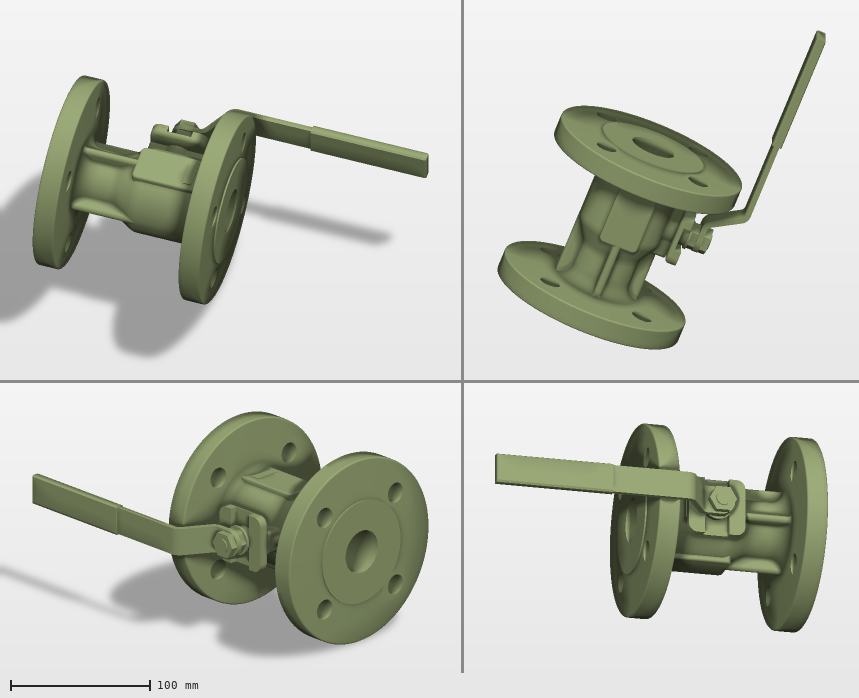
import cadquery as cq
import math


valve_length = 130.0
flange_radius = 70.0
raised_face_radius = 39.0
raised_face_height = 1.3
flange_back_draft = 1.5
rim_start = 2.5
rim_width = 15.5
rim_fillet = 1.3
bolt_circle_radius = 50.0
bolt_hole_radius = 7.5
bolt_count = 4
bore_radius = 16.2
tolerance = 0.3
flange_back = rim_start + rim_width + flange_back_draft

barrel_radius = 31.0
barrel_start = 67.5
barrel_end = 104.5
neck_start = 29.3
neck_end = 44.7
cone_angle = math.radians(30)
cone_bend_radius = 11.9
neck_flare = neck_start - flange_back
barrel_flare = valve_length - flange_back - barrel_end
bend_run = cone_bend_radius * math.sin(cone_angle)
bend_rise = cone_bend_radius * (1 - math.cos(cone_angle))
cone_run = barrel_start - neck_end - 2 * bend_run
neck_radius = barrel_radius - 2 * bend_rise - cone_run * math.tan(cone_angle)

rib_half_width = 2.8
rib_height = 31.3
rib_count = 4
rib_root_fillet = 2.0

plate_start = 59.3
plate_end = valve_length - flange_back
plate_half_width = 14.5
plate_height = 31.3
plate_corner_radius = 3.8
plate_edge_fillet = 1.5
stamp_pad_start = 96.7
stamp_pad_length = 6.5
stamp_pad_width = 20.0
stamp_pad_height = 0.8

stem_x = 78.5
mount_half_width = 21.0
mount_corner_radius = 6.5
mount_bottom = 37.0
mount_top = 45.5
mount_edge_fillet = 3.0
channel_floor = 40.5
pedestal_half_depth = 8.5
pedestal_boss_radius = 11.4
pedestal_fillet = 2.5

collar_radius = 9.0
washer_radius = 10.9
washer_bottom = 47.0
washer_top = 48.7
nut_corner_radius = 10.0
spindle_radius = 5.3
nut_top = 63.0
spindle_top = 64.1

lever_thickness = 4.0
lever_half_width = 10.0
lever_seat = 53.8
lever_rise = 25.2
lever_slope = math.radians(60)
lever_bend_x = 92.2
lever_bend_radius = 6.0
grip_start = 166.0
grip_end = 252.5
grip_thickness = 7.0
grip_half_width = 10.9
grip_chamfer_across = 1.5
grip_chamfer_down = 0.8
grip_end_fillet = 1.3
lever_seat_top = lever_seat + lever_thickness
lever_mid = lever_seat + lever_thickness / 2


def arc_middle(center, radius, angle):
    return (center[0] + radius * math.cos(angle), center[1] + radius * math.sin(angle))


def prism_y(sketch, bottom, top):
    """Extrude a wire drawn on an XZ plane, whose normal points to -Y, from bottom up to top."""
    return sketch.extrude(bottom - top).translate((0, bottom, 0))


def stem_plane():
    return cq.Workplane("XZ", origin=(stem_x, 0, 0))


def cylinder_y(radius, bottom, top):
    return prism_y(stem_plane().circle(radius), bottom, top)


def make_flange():
    """Left flange, with both faces leaning slightly towards the middle of the rim."""
    profile = [
        (0, 0),
        (0, raised_face_radius),
        (raised_face_height, raised_face_radius),
        (rim_start, flange_radius),
        (rim_start + rim_width, flange_radius),
        (flange_back, raised_face_radius),
        (flange_back, 0),
    ]
    flange = cq.Workplane("XY").polyline(profile).close().revolve(360, (0, 0, 0), (1, 0, 0))
    reach = flange_radius + tolerance
    rim_box = cq.selectors.BoxSelector(
        (rim_start - tolerance, -reach, -reach),
        (rim_start + rim_width + tolerance, reach, reach),
        boundingbox=True,
    )
    return flange.edges(rim_box).fillet(rim_fillet)


def make_barrel():
    neck_flare_center = (neck_start, neck_radius + neck_flare)
    barrel_flare_center = (barrel_end, barrel_radius + barrel_flare)
    neck_bend_center = (neck_end, neck_radius + cone_bend_radius)
    barrel_bend_center = (barrel_start, barrel_radius - cone_bend_radius)
    return (
        cq.Workplane("XY")
        .moveTo(flange_back, 0)
        .lineTo(flange_back, neck_radius + neck_flare)
        .threePointArc(
            arc_middle(neck_flare_center, neck_flare, math.radians(225)), (neck_start, neck_radius)
        )
        .lineTo(neck_end, neck_radius)
        .threePointArc(
            arc_middle(neck_bend_center, cone_bend_radius, (cone_angle - math.pi) / 2),
            (neck_end + bend_run, neck_radius + bend_rise),
        )
        .lineTo(barrel_start - bend_run, barrel_radius - bend_rise)
        .threePointArc(
            arc_middle(barrel_bend_center, cone_bend_radius, (cone_angle + math.pi) / 2),
            (barrel_start, barrel_radius),
        )
        .lineTo(barrel_end, barrel_radius)
        .threePointArc(
            arc_middle(barrel_flare_center, barrel_flare, math.radians(315)),
            (barrel_end + barrel_flare, barrel_radius + barrel_flare),
        )
        .lineTo(barrel_end + barrel_flare, 0)
        .close()
        .revolve(360, (0, 0, 0), (1, 0, 0))
    )


def make_rib():
    """Rib with a fully rounded crest, standing in the +Z direction."""
    length = barrel_start - flange_back
    crest = rib_height - rib_half_width
    return (
        cq.Workplane("YZ", origin=(flange_back, 0, 0))
        .moveTo(-rib_half_width, 0)
        .lineTo(-rib_half_width, crest)
        .threePointArc((0, rib_height), (rib_half_width, crest))
        .lineTo(rib_half_width, 0)
        .close()
        .extrude(length)
    )


def make_rating_plate():
    plate = (
        cq.Workplane("XY")
        .box(plate_end - plate_start, 2 * plate_half_width, plate_height, centered=(False, True, False))
        .translate((plate_start, 0, 0))
        .edges("|Z and <X")
        .fillet(plate_corner_radius)
    )
    return plate.faces(">Z").edges().fillet(plate_edge_fillet)


def make_stamp_pad():
    """Raised rectangle on the upper rating plate."""
    pad_top = plate_height + stamp_pad_height
    return (
        cq.Workplane("XY")
        .box(stamp_pad_length, stamp_pad_width, pad_top, centered=(False, True, False))
        .translate((stamp_pad_start, 0, 0))
    )


def make_ribbed_barrel():
    """Barrel with evenly spaced ribs, blended into the neck along their roots."""
    barrel = make_barrel()
    for index in range(rib_count):
        barrel = barrel.union(make_rib().rotate((0, 0, 0), (1, 0, 0), index * 360 / rib_count))
    neck_box = cq.selectors.BoxSelector(
        (neck_start, -neck_radius, -neck_radius), (neck_end, neck_radius, neck_radius)
    )
    return barrel.edges("|X").edges(neck_box).fillet(rib_root_fillet)


def make_pedestal():
    """Web with a round boss around the stem, carrying the stem mount."""
    web = prism_y(
        stem_plane().rect(2 * mount_half_width, 2 * pedestal_half_depth), 0, mount_bottom
    )
    web = web.edges("|Y").fillet(pedestal_fillet)
    pedestal = web.union(cylinder_y(pedestal_boss_radius, 0, mount_bottom))
    boss_box = cq.selectors.BoxSelector(
        (stem_x - pedestal_boss_radius, 0, -pedestal_boss_radius),
        (stem_x + pedestal_boss_radius, mount_bottom, pedestal_boss_radius),
    )
    return pedestal.edges("|Y").edges(boss_box).fillet(pedestal_fillet)


def add_pedestal(barrel):
    """Join the pedestal to the barrel and blend it in along its foot."""
    half_depth = pedestal_boss_radius + pedestal_fillet
    foot_box = cq.selectors.BoxSelector(
        (stem_x - mount_half_width - pedestal_fillet, bore_radius, -half_depth),
        (stem_x + mount_half_width + pedestal_fillet, rib_height + tolerance, half_depth),
        boundingbox=True,
    )
    return barrel.union(make_pedestal()).edges(foot_box).fillet(pedestal_fillet)


def make_mount():
    """Square stem mount with an open channel along Z for the stem collar."""
    width = 2 * mount_half_width
    mount = prism_y(stem_plane().rect(width, width), mount_bottom, mount_top)
    mount = mount.edges("|Y").fillet(mount_corner_radius)
    mount = mount.faces("<Y").edges("|X").fillet(mount_edge_fillet)
    channel = prism_y(stem_plane().rect(2 * collar_radius, width), channel_floor, mount_top)
    return mount.cut(channel)


def make_housing():
    body = add_pedestal(make_ribbed_barrel())
    for turn in (0, 180):
        body = body.union(make_rating_plate().rotate((0, 0, 0), (1, 0, 0), turn))
    body = body.union(make_stamp_pad()).union(make_mount())

    flange = make_flange()
    body = body.union(flange)
    body = body.union(flange.mirror("YZ").translate((valve_length, 0, 0)))

    bolt_holes = (
        cq.Workplane("YZ")
        .polarArray(bolt_circle_radius, 180 / bolt_count, 360, bolt_count)
        .circle(bolt_hole_radius)
        .extrude(valve_length)
    )
    bore = cq.Workplane("YZ").circle(bore_radius).extrude(valve_length)
    return body.cut(bolt_holes).cut(bore)


def make_nut(bottom, top):
    return prism_y(stem_plane().polygon(6, 2 * nut_corner_radius), bottom, top)


def make_stem():
    stem = cylinder_y(collar_radius, channel_floor, washer_bottom)
    stem = stem.union(cylinder_y(washer_radius, washer_bottom, washer_top))
    stem = stem.union(make_nut(washer_top, lever_seat))
    stem = stem.union(make_nut(lever_seat_top, nut_top))
    return stem.union(cylinder_y(spindle_radius, washer_top, spindle_top))


def bent_bar():
    """Cranked flat strip that lies on the clamped seat, climbs, and runs on level to the grip."""
    inner_radius = lever_bend_radius - lever_thickness / 2
    outer_radius = lever_bend_radius + lever_thickness / 2
    offset = lever_thickness / 2 * math.tan(lever_slope / 2)
    climb_run = lever_rise / math.tan(lever_slope)
    top_bend_x = lever_bend_x + climb_run
    start_x = stem_x - lever_half_width
    upper_side = [
        (start_x, lever_seat_top),
        (lever_bend_x - offset, lever_seat_top),
        (top_bend_x - offset, lever_seat_top + lever_rise),
        (grip_start, lever_seat_top + lever_rise),
    ]
    lower_side = [
        (grip_start, lever_seat + lever_rise),
        (top_bend_x + offset, lever_seat + lever_rise),
        (lever_bend_x + offset, lever_seat),
        (start_x, lever_seat),
    ]
    bar = (
        cq.Workplane("XY")
        .polyline(upper_side + lower_side)
        .close()
        .extrude(lever_half_width, both=True)
    )
    inner_bends = [upper_side[1], lower_side[1]]
    outer_bends = [upper_side[2], lower_side[2]]
    for corners, radius in ((inner_bends, inner_radius), (outer_bends, outer_radius)):
        for corner in corners:
            bar = bar.edges(cq.selectors.NearestToPointSelector((*corner, 0))).fillet(radius)
    return bar


def make_grip():
    grip = (
        cq.Workplane("XY")
        .box(grip_end - grip_start, grip_thickness, 2 * grip_half_width, centered=(False, True, True))
    )
    for side in (">Z", "<Z"):
        grip = grip.faces(side).edges("|X").chamfer(grip_chamfer_down, grip_chamfer_across)
    grip = grip.faces(">X").edges("|Z").fillet(grip_end_fillet)
    return grip.translate((grip_start, lever_mid + lever_rise, 0))


def make_lever():
    """Lever with a round end clamped on the spindle."""
    seat_square = (
        cq.Workplane("XY")
        .box(lever_half_width, lever_rise, 2 * lever_half_width, centered=(False, True, True))
        .translate((stem_x - lever_half_width, lever_mid, 0))
    )
    round_end = seat_square.cut(cylinder_y(lever_half_width, lever_seat, lever_seat_top))
    lever = bent_bar().cut(round_end)
    lever = lever.cut(cylinder_y(spindle_radius, lever_seat, lever_seat_top))
    return lever.union(make_grip())


housing = make_housing()
stem = make_stem()
lever = make_lever()
result = cq.Compound.makeCompound([housing.val(), stem.val(), lever.val()])